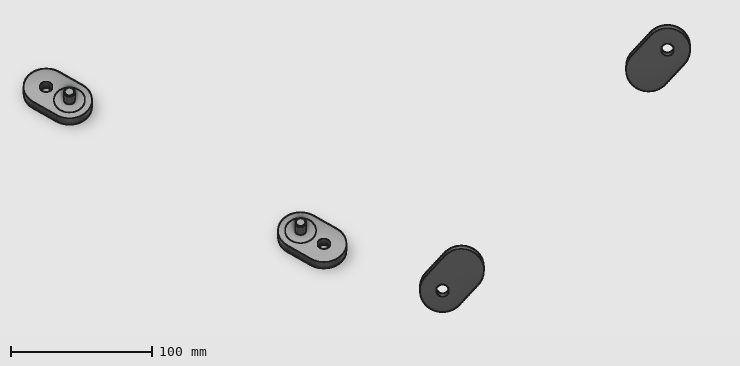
import cadquery as cq

overall_length = 272.0
plate_width = 32.0
plate_thickness = 8.0
hole_spacing = 20.0
mounting_hole_diameter = 9.0

head_diameter = 22.0
head_thickness = plate_thickness / 2
stud_diameter = 8.0
stud_tip_chamfer = 0.68
overall_height = 18.0

mounting_hole_x = overall_length / 2 - plate_width / 2
stud_x = mounting_hole_x - hole_spacing
plate_x = (mounting_hole_x + stud_x) / 2
head_bottom = plate_thickness - head_thickness


def make_plate(side):
    """Obround plate with a through hole outboard and a round head recess inboard."""
    blank = (
        cq.Workplane("XY")
        .center(side * plate_x, 0)
        .slot2D(plate_width + hole_spacing, plate_width)
        .extrude(plate_thickness)
    )
    mounting_hole = (
        cq.Workplane("XY")
        .center(side * mounting_hole_x, 0)
        .circle(mounting_hole_diameter / 2)
        .extrude(plate_thickness)
    )
    head_recess = (
        cq.Workplane("XY", origin=(side * stud_x, 0, head_bottom))
        .circle(head_diameter / 2)
        .extrude(head_thickness)
    )
    return blank.cut(mounting_hole).cut(head_recess)


def make_stud(side):
    """Chamfered stud rising from a round head that fills the plate's recess."""
    head = (
        cq.Workplane("XY", origin=(side * stud_x, 0, head_bottom))
        .circle(head_diameter / 2)
        .extrude(head_thickness)
    )
    shank = (
        cq.Workplane("XY", origin=(side * stud_x, 0, head_bottom))
        .circle(stud_diameter / 2)
        .extrude(overall_height - head_bottom)
    )
    shank = shank.faces(">Z").chamfer(stud_tip_chamfer)
    return head.union(shank)


bodies = []
for side in (-1, 1):
    bodies.append(make_plate(side).val())
    bodies.append(make_stud(side).val())

result = cq.Compound.makeCompound(bodies)